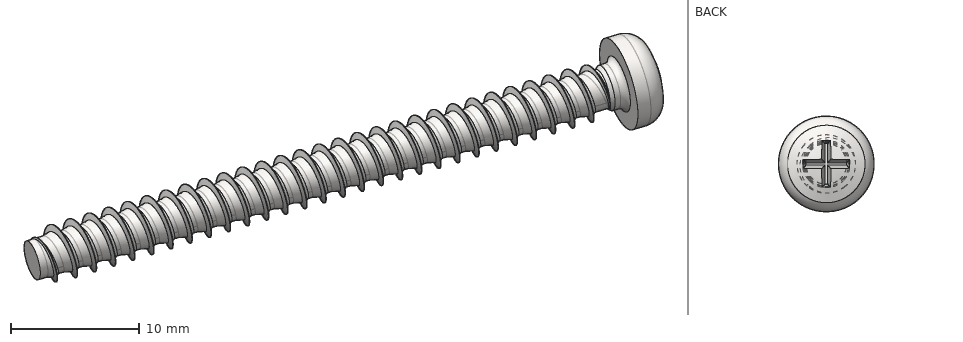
import cadquery as cq
import math

total_length = 53.15
head_height = 3.15
shank_length = total_length - head_height

head_radius = 7.5 / 2
rim_height = 1.1
dome_edge_radius = 3.05
dome_edge_height = 2.5

recess_width = 0.75
recess_span = 3.7
recess_depth = 1.6
recess_taper = 10.0

neck_radius = 1.85
flare_radius = 2.3
flare_height = 0.65
neck_length = 1.1
neck_cone_length = 0.3
core_radius = 1.6

thread_radius = 2.3
thread_turns = 29.75
thread_start = 0.35
thread_end = 1.1
thread_pitch = (shank_length - thread_start - thread_end) / thread_turns
fade_turns = 0.75
fade_width_ratio = 0.2

crest_width = 0.05
flank_angle = 15.0
hump_radius = 1.75
foot_radius = 1.55
head_side_foot = 0.55
tip_side_foot = 1.05


def make_body():
    """Revolve the head, neck, core and tip as one profile."""
    dome_drop = head_height - dome_edge_height
    dome_sphere = (dome_edge_radius**2 + dome_drop**2) / (2 * dome_drop)
    dome_middle_x = dome_edge_radius / 2
    dome_middle_y = head_height - dome_sphere + math.sqrt(dome_sphere**2 - dome_middle_x**2)
    profile = (
        cq.Workplane("XY")
        .moveTo(0, -shank_length)
        .lineTo(core_radius, -shank_length)
        .lineTo(core_radius, -neck_length - neck_cone_length)
        .lineTo(neck_radius, -neck_length)
        .lineTo(neck_radius, -flare_height)
        .tangentArcPoint((flare_radius, 0), relative=False)
        .lineTo(head_radius, 0)
        .lineTo(head_radius, rim_height)
        .tangentArcPoint((dome_edge_radius, dome_edge_height), relative=False)
        .threePointArc((dome_middle_x, dome_middle_y), (0, head_height))
        .close()
    )
    return profile.revolve(360, (0, 0, 0), (0, 1, 0))


def make_helix(start_turn, end_turn, start_radius, end_radius, start_offset, end_offset):
    """Helix between two turn counts whose radius and axial offset from the crest line may change."""
    start_height = thread_pitch * start_turn + start_offset
    height = thread_pitch * end_turn + end_offset - start_height
    pitch = height / (end_turn - start_turn)
    if start_radius == end_radius:
        helix = cq.Wire.makeHelix(pitch, height, start_radius)
    else:
        cone_angle = math.atan2(end_radius - start_radius, height)
        slant = 1 / math.cos(cone_angle)
        helix = cq.Wire.makeHelix(pitch * slant, height * slant, start_radius, angle=math.degrees(cone_angle))
    helix = helix.rotate(cq.Vector(0, 0, 0), cq.Vector(0, 0, 1), 360 * start_turn)
    return helix.translate(cq.Vector(0, 0, start_height))


def make_end_cap(rails, at_end):
    """Flat face closing the tooth across one end of its helical edges."""
    corners = [rail.endPoint() if at_end else rail.startPoint() for rail in rails]
    return cq.Face.makeFromWires(cq.Wire.makePolygon(corners, close=True))


def make_thread():
    """Helical tooth that grows out of the core over its first turns and sinks back over its last."""
    half_crest = crest_width / 2
    half_base = half_crest + (thread_radius - hump_radius) * math.tan(math.radians(flank_angle))
    full_section = [
        (foot_radius, -tip_side_foot),
        (hump_radius, -half_base),
        (thread_radius, -half_crest),
        (thread_radius, half_crest),
        (hump_radius, half_base),
        (foot_radius, head_side_foot),
    ]
    buried_height = (core_radius - foot_radius) / 2 / (thread_radius - foot_radius)
    faded_section = [
        (foot_radius + (radius - foot_radius) * buried_height, offset * fade_width_ratio)
        for radius, offset in full_section
    ]
    fade_out_turn = thread_turns - fade_turns
    stretches = [
        (0, fade_turns, faded_section, full_section),
        (fade_turns, fade_out_turn, full_section, full_section),
        (fade_out_turn, thread_turns, full_section, faded_section),
    ]
    faces = []
    for start_turn, end_turn, start_section, end_section in stretches:
        rails = [
            make_helix(start_turn, end_turn, start_radius, end_radius, start_offset, end_offset)
            for (start_radius, start_offset), (end_radius, end_offset) in zip(start_section, end_section)
        ]
        for index, rail in enumerate(rails):
            faces.append(cq.Face.makeRuledSurface(rails[index - 1], rail))
        if start_turn == 0:
            faces.append(make_end_cap(rails, False))
        if end_turn == thread_turns:
            faces.append(make_end_cap(rails, True))
    tooth = cq.Solid.makeSolid(cq.Shell.makeShell(faces))
    return (
        cq.Workplane(tooth)
        .rotate((0, 0, 0), (0, 0, 1), 180)
        .rotate((0, 0, 0), (1, 0, 0), -90)
        .translate((0, -shank_length + thread_start, 0))
    )


def make_recess():
    """Tapered cross recess sunk into the dome."""
    arm = (
        cq.Workplane("XZ", origin=(0, head_height, 0))
        .rect(recess_span, recess_width)
        .extrude(recess_depth, taper=recess_taper)
    )
    return arm.union(arm.rotate((0, 0, 0), (0, 1, 0), 90))


result = make_body().cut(make_recess()).union(make_thread())